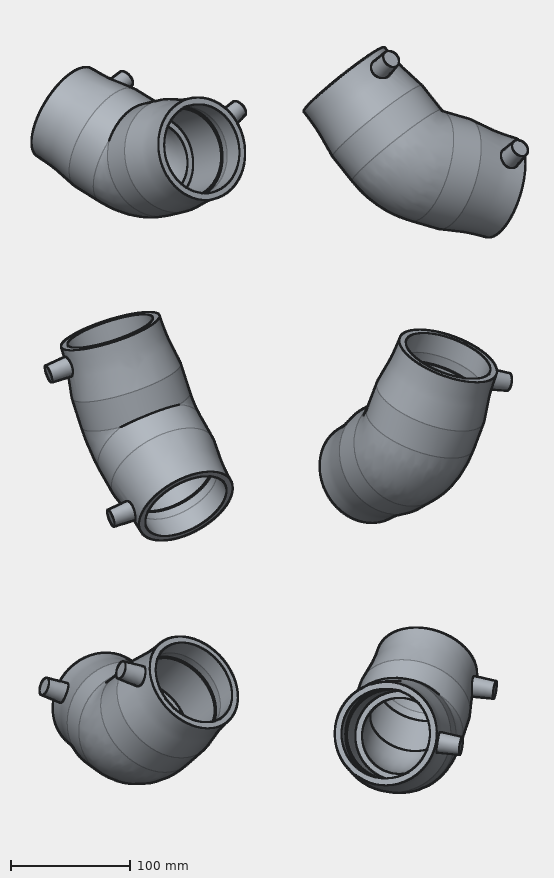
import cadquery as cq
import math

bend_angle = 45.0
bend_radius = 39.6
leg_length = 71.1

barrel_diameter = 96.0
mouth_diameter = 86.8
taper_length = 44.8

socket_diameter = 75.0
bore_diameter = 63.7
groove_diameter = 78.0
groove_start = 18.7
groove_end = 28.0

post_tip_diameter = 15.3
post_base_diameter = 18.2
post_from_mouth = 15.5
post_tip_y = 62.1
post_base_y = 39.6

barrel_radius = barrel_diameter / 2
mouth_radius = mouth_diameter / 2
socket_radius = socket_diameter / 2
bore_radius = bore_diameter / 2
groove_radius = groove_diameter / 2

taper_rise = barrel_radius - mouth_radius
taper_arc_radius = (taper_length**2 + taper_rise**2) / (2 * taper_rise)
taper_mid_x = taper_length / 2
taper_mid_radius = mouth_radius + taper_arc_radius - math.sqrt(taper_arc_radius**2 - taper_mid_x**2)


def revolve_about_x(profile):
    return profile.close().revolve(360, (0, 0, 0), (1, 0, 0))


def leg_body():
    """Solid leg with its mouth at X = 0 and its bend end at X = leg_length."""
    return revolve_about_x(
        cq.Workplane("XZ")
        .lineTo(0, mouth_radius)
        .threePointArc((taper_mid_x, taper_mid_radius), (taper_length, barrel_radius))
        .lineTo(leg_length, barrel_radius)
        .lineTo(leg_length, 0)
    )


def leg_cavity():
    """Socket with a shallow ring groove that deepens inward, running the full length of the leg."""
    return revolve_about_x(
        cq.Workplane("XZ")
        .lineTo(0, socket_radius)
        .lineTo(groove_start, socket_radius)
        .lineTo(groove_end, groove_radius)
        .lineTo(groove_end, socket_radius)
        .lineTo(leg_length, socket_radius)
        .lineTo(leg_length, 0)
    )


def terminal_post():
    """Tapered round post standing on the +Y side of the leg."""
    return (
        cq.Workplane("XY")
        .moveTo(post_from_mouth, post_base_y)
        .lineTo(post_from_mouth + post_base_diameter / 2, post_base_y)
        .lineTo(post_from_mouth + post_tip_diameter / 2, post_tip_y)
        .lineTo(post_from_mouth, post_tip_y)
        .close()
        .revolve(360, (post_from_mouth, 0, 0), (post_from_mouth, 1, 0))
    )


def as_outlet(shape):
    """Mirror an inlet shape in the plane that halves the bend, giving its outlet twin."""
    half_angle = math.radians(bend_angle / 2)
    normal = (math.cos(half_angle), 0, math.sin(half_angle))
    plane = cq.Plane(origin=(leg_length, 0, bend_radius), xDir=(0, 1, 0), normal=normal)
    return shape.mirror(plane.zDir, (leg_length, 0, bend_radius))


def sweep_bend(section):
    """Revolve a YZ section about the bend centre line, which runs along Y."""
    return section.revolve(bend_angle, (1.8, bend_radius, 0), (0, bend_radius, 0))


def bend_section_plane():
    return cq.Workplane("YZ", origin=(leg_length, 0, 0))


def bend_body():
    """Outer bend; the section stops at the bend centre line, which it would otherwise cross."""
    half_chord = math.sqrt(barrel_radius**2 - bend_radius**2)
    section = (
        bend_section_plane()
        .moveTo(-half_chord, bend_radius)
        .threePointArc((0, -barrel_radius), (half_chord, bend_radius))
        .close()
    )
    return sweep_bend(section)


def bend_cavity():
    return sweep_bend(bend_section_plane().circle(bore_radius))


inlet = leg_body().union(terminal_post())
inlet_cavity = leg_cavity()

result = (
    bend_body()
    .union(inlet)
    .union(as_outlet(inlet))
    .cut(inlet_cavity)
    .cut(as_outlet(inlet_cavity))
    .cut(bend_cavity())
)